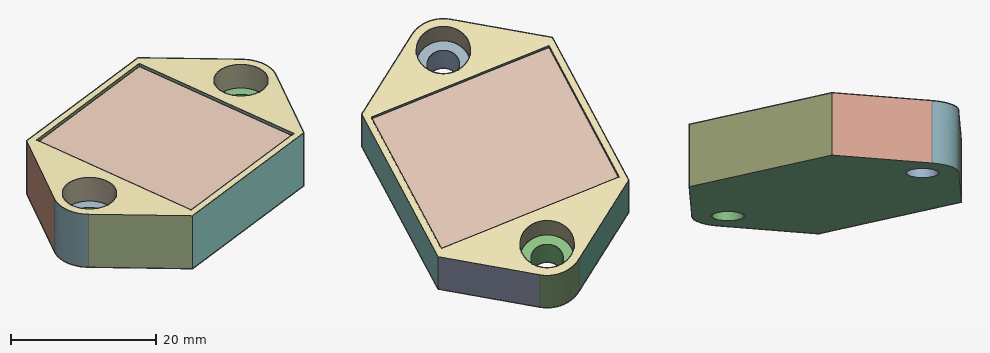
import cadquery as cq
import math

width = 29.0
length = 44.0
height = 9.0
side_length = 25.0

hole_spacing = 34.0
hole_diameter = 4.5
counterbore_diameter = 7.5
counterbore_depth = 4.0

recess_width = 27.0
recess_length = 23.0
recess_depth = 0.5

half_width = width / 2
half_length = length / 2
half_side = side_length / 2
hole_y = hole_spacing / 2
end_radius = half_length - hole_y


def end_tangent_point():
    """Point where the +X, +Y sloping edge runs tangentially into the end arc."""
    corner_dx = half_width
    corner_dy = half_side - hole_y
    corner_distance = math.hypot(corner_dx, corner_dy)
    angle = math.atan2(corner_dy, corner_dx) + math.acos(end_radius / corner_distance)
    return end_radius * math.cos(angle), hole_y + end_radius * math.sin(angle)


def make_body():
    """Elongated hexagon with its two Y ends rounded, standing on Z = 0."""
    tangent_x, tangent_y = end_tangent_point()
    return (
        cq.Workplane("XY")
        .moveTo(half_width, -half_side)
        .lineTo(half_width, half_side)
        .lineTo(tangent_x, tangent_y)
        .threePointArc((0, half_length), (-tangent_x, tangent_y))
        .lineTo(-half_width, half_side)
        .lineTo(-half_width, -half_side)
        .lineTo(-tangent_x, -tangent_y)
        .threePointArc((0, -half_length), (tangent_x, -tangent_y))
        .close()
        .extrude(height)
    )


def cut_recess(body):
    """Rectangular recess centred in the top face."""
    return (
        body.faces(">Z")
        .workplane(origin=(0, 0, height))
        .rect(recess_width, recess_length)
        .cutBlind(-recess_depth)
    )


def cut_mounting_holes(body):
    """Counterbored through hole at each end."""
    return (
        body.faces(">Z")
        .workplane(origin=(0, 0, height))
        .pushPoints([(0, hole_y), (0, -hole_y)])
        .cboreHole(hole_diameter, counterbore_diameter, counterbore_depth)
    )


result = cut_mounting_holes(cut_recess(make_body()))